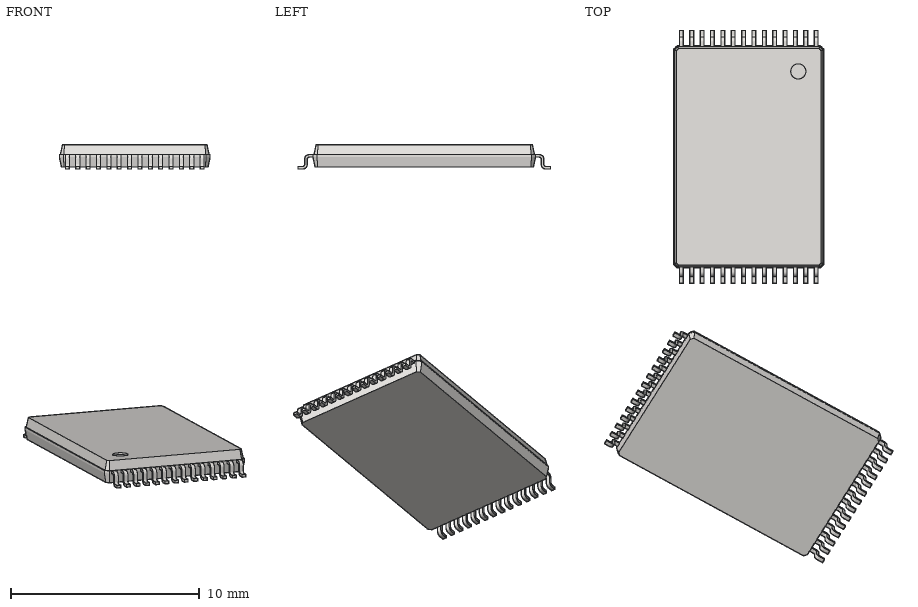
import cadquery as cq
import math

body_width = 8.0
body_length = 11.8
overall_length = 13.4
overall_height = 1.3
standoff = 0.1

lead_thickness = 0.15
band_top = 0.78
band_bottom = band_top - lead_thickness
corner_chamfer = 0.21
upper_ledge = 0.05
draft_angle = 12.0

marker_diameter = 0.8
marker_depth = 0.1
marker_x = 2.63
marker_y = 4.53

leads_per_side = 14
lead_pitch = 0.55
lead_width = 0.21
foot_flat = 0.25
inner_bend = 0.1
outer_bend = inner_bend + lead_thickness
lead_embed = 0.13


def chamfered_outline(inset, height):
    """Body outline at a height, moved inward parallel to the band outline."""
    chamfer = corner_chamfer - inset * (2 - math.sqrt(2))
    half_x = body_width / 2 - inset
    half_y = body_length / 2 - inset
    points = [
        (half_x - chamfer, half_y),
        (half_x, half_y - chamfer),
        (half_x, chamfer - half_y),
        (half_x - chamfer, -half_y),
        (chamfer - half_x, -half_y),
        (-half_x, chamfer - half_y),
        (-half_x, half_y - chamfer),
        (chamfer - half_x, half_y),
    ]
    return cq.Workplane("XY").workplane(offset=height).polyline(points).close()


def make_body():
    band = chamfered_outline(0, band_bottom).extrude(lead_thickness)
    upper = chamfered_outline(upper_ledge, band_top).extrude(overall_height - band_top, taper=draft_angle)
    lower = chamfered_outline(0, band_bottom).extrude(standoff - band_bottom, taper=draft_angle)
    return band.union(upper).union(lower)


def make_marker():
    return (
        cq.Workplane("XY")
        .workplane(offset=overall_height - marker_depth)
        .center(marker_x, marker_y)
        .circle(marker_diameter / 2)
        .extrude(marker_depth)
    )


def make_lead():
    """One lead on the +Y side, centred on X = 0, with its foot on Z = 0."""
    tip = overall_length / 2
    foot_end = tip - foot_flat
    shank_outer = foot_end - inner_bend
    shank_inner = shank_outer - lead_thickness
    shoulder = shank_outer - outer_bend
    root = body_length / 2 - lead_embed
    diagonal = math.sqrt(0.5)

    lower_bend_z = outer_bend
    upper_bend_z = band_top - outer_bend
    inner_reach = inner_bend * diagonal
    outer_reach = outer_bend * diagonal

    return (
        cq.Workplane("YZ")
        .workplane(offset=-lead_width / 2)
        .moveTo(tip, 0)
        .lineTo(foot_end, 0)
        .threePointArc((foot_end - outer_reach, lower_bend_z - outer_reach), (shank_inner, lower_bend_z))
        .lineTo(shank_inner, upper_bend_z)
        .threePointArc((shoulder + inner_reach, upper_bend_z + inner_reach), (shoulder, band_bottom))
        .lineTo(root, band_bottom)
        .lineTo(root, band_top)
        .lineTo(shoulder, band_top)
        .threePointArc((shoulder + outer_reach, upper_bend_z + outer_reach), (shank_outer, upper_bend_z))
        .lineTo(shank_outer, lower_bend_z)
        .threePointArc((foot_end - inner_reach, lower_bend_z - inner_reach), (foot_end, lead_thickness))
        .lineTo(tip, lead_thickness)
        .close()
        .extrude(lead_width)
    )


result = make_body().cut(make_marker())
back_lead = make_lead()
front_lead = back_lead.mirror("XZ")
for index in range(leads_per_side):
    lead_x = (index - (leads_per_side - 1) / 2) * lead_pitch
    for lead in (back_lead, front_lead):
        result = result.union(lead.translate((lead_x, 0, 0)))